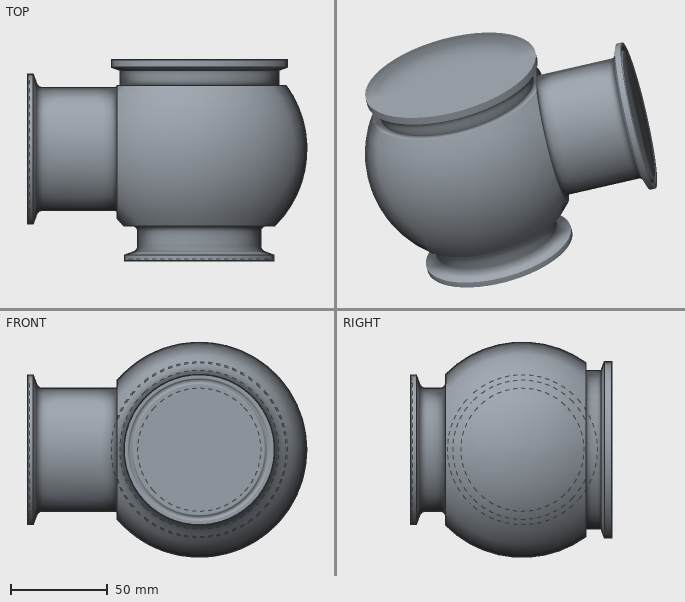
import cadquery as cq
import math

BODY_DIAMETER = 111.0
BODY_RADIUS = BODY_DIAMETER / 2
OVERALL_LENGTH = 144

SIDE_FLAT = 42.3
SIDE_FACE = OVERALL_LENGTH - BODY_RADIUS
FRONT_FLAT = 39.6
FRONT_FACE = 57.6
BACK_FLAT = 32.8
BACK_FACE = 46.1

TUBE_RADIUS = 63.5 / 2
FERRULE_RADIUS = 77.3 / 2
FERRULE_RIM = 2.9
FERRULE_FILLET = 3.0
SIDE_ROOT_FILLET = 1.0
FRONT_ROOT_FILLET = 2.7

GROOVE_INNER_RADIUS = 33.5
GROOVE_OUTER_RADIUS = 37.0
GROOVE_LIP_WIDTH = 0.7
GROOVE_LIP_DEPTH = 0.5

BACK_NECK_RADIUS = 82.0 / 2
BACK_FLANGE_RADIUS = 90.9 / 2
BACK_RIM = 3.9

CLAMP_ANGLE = math.radians(20)


def revolve_about_y(profile):
    """Revolve a (radius, axial position) profile around the Y axis."""
    return profile.close().revolve(360, (0, 0, 0), (0, 1, 0))


def make_body():
    """Sphere cut flat where the three ports leave it."""
    front_radius = math.sqrt(BODY_RADIUS**2 - FRONT_FLAT**2)
    back_radius = math.sqrt(BODY_RADIUS**2 - BACK_FLAT**2)
    profile = (
        cq.Workplane("XY")
        .moveTo(0, -FRONT_FLAT)
        .lineTo(front_radius, -FRONT_FLAT)
        .threePointArc((BODY_RADIUS, 0), (back_radius, BACK_FLAT))
        .lineTo(0, BACK_FLAT)
    )
    side_waste = cq.Workplane("XY").box(BODY_DIAMETER, BODY_DIAMETER, BODY_DIAMETER)
    side_waste = side_waste.translate((-SIDE_FLAT - BODY_RADIUS, 0, 0))
    return revolve_about_y(profile).cut(side_waste)


def make_ferrule_port(flat, face, root_fillet):
    """Closed port along +Y with a rounded root, a clamp ferrule and a gasket groove."""
    fillet_center_r = TUBE_RADIUS + FERRULE_FILLET
    slope_end_r = fillet_center_r - FERRULE_FILLET * math.sin(CLAMP_ANGLE)
    rim_back = face - FERRULE_RIM
    slope_end = rim_back - (FERRULE_RADIUS - slope_end_r) * math.tan(CLAMP_ANGLE)
    fillet_end = slope_end - FERRULE_FILLET * math.cos(CLAMP_ANGLE)
    lip_depth_y = face - GROOVE_LIP_DEPTH

    profile = (
        cq.Workplane("XY")
        .moveTo(0, flat)
        .lineTo(0, face)
        .lineTo(GROOVE_INNER_RADIUS, face)
        .tangentArcPoint((GROOVE_INNER_RADIUS + GROOVE_LIP_WIDTH, lip_depth_y), relative=False)
        .tangentArcPoint((GROOVE_OUTER_RADIUS - GROOVE_LIP_WIDTH, lip_depth_y), relative=False)
        .tangentArcPoint((GROOVE_OUTER_RADIUS, face), relative=False)
        .lineTo(FERRULE_RADIUS, face)
        .lineTo(FERRULE_RADIUS, rim_back)
        .lineTo(slope_end_r, slope_end)
        .tangentArcPoint((TUBE_RADIUS, fillet_end), relative=False)
        .lineTo(TUBE_RADIUS, flat + root_fillet)
        .tangentArcPoint((TUBE_RADIUS + root_fillet, flat), relative=False)
    )
    return revolve_about_y(profile)


def make_back_port():
    """Short wide neck along +Y with a flange that slopes back to the neck."""
    rim_back = BACK_FACE - BACK_RIM
    slope_end = rim_back - (BACK_FLANGE_RADIUS - BACK_NECK_RADIUS) * math.tan(CLAMP_ANGLE)
    profile = (
        cq.Workplane("XY")
        .lineTo(0, BACK_FACE)
        .lineTo(BACK_FLANGE_RADIUS, BACK_FACE)
        .lineTo(BACK_FLANGE_RADIUS, rim_back)
        .lineTo(BACK_NECK_RADIUS, slope_end)
        .lineTo(BACK_NECK_RADIUS, 0)
    )
    return revolve_about_y(profile)


side_port = make_ferrule_port(SIDE_FLAT, SIDE_FACE, SIDE_ROOT_FILLET)
side_port = side_port.rotate((0, 0, 0), (0, 0, 1), 90)
front_port = make_ferrule_port(FRONT_FLAT, FRONT_FACE, FRONT_ROOT_FILLET)
front_port = front_port.rotate((0, 0, 0), (0, 0, 1), 180)

result = make_body().union(make_back_port()).union(side_port).union(front_port)